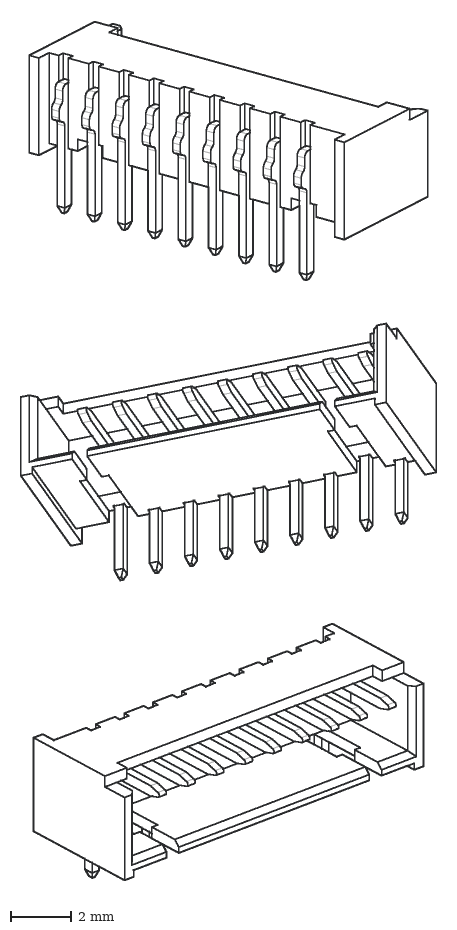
import cadquery as cq
import math


length = 13.0
depth = 4.7
height = 3.5
end_wall_thickness = 0.52
end_wall_front_height = 3.1
floor_bottom = 0.25
floor_top = 0.68
roof_bottom = end_wall_front_height
back_wall_rear = 0.57
back_wall_thickness = 1.0
back_wall_front = back_wall_rear + back_wall_thickness
ear_width = 0.4
roof_front = 3.21
shoulder_front = 3.69
shoulder_width = 0.95
mouth_chamfer = 0.21

notch_offset = 4.41
notch_wide = 1.03
notch_narrow = 0.53
notch_wide_front = 3.32

pin_count = 9
pin_pitch = 1.25
first_pin_from_end = 1.0
first_pin_x = first_pin_from_end - length / 2
pin_width = 0.31
slot_width = 0.4
pin_rear = 0.43
pin_thickness = 0.39
slot_bottom = pin_rear + pin_thickness
pin_top = 2.59
pin_taper_start_y = 3.82
pin_taper_end_y = 4.2
pin_taper_drop = 0.1
nose_radius = pin_thickness / 2 - pin_taper_drop
tail_length = 2.1
tail_tip_z = -tail_length
tail_taper_length = 0.26
tail_taper_start = tail_tip_z + tail_taper_length
tail_taper_inset = 0.1

bend_radius = 0.2
bend_rear = 0.31
bump_rear = 0.12
bump_upper_start = 2.08
bump_upper_middle_y = 0.23
bump_upper_middle_z = 1.92
bump_upper_end = 1.73
bump_lower_start = 1.48
bump_lower_end = 1.1


def block(x0, x1, y0, y1, z0, z1):
    """Box between two opposite corners."""
    return cq.Workplane("XY").box(x1 - x0, y1 - y0, z1 - z0, centered=False).translate((x0, y0, z0))


def centred_block(x, width, y0, y1, z0, z1):
    """Box of the given width centred on x."""
    return block(x - width / 2, x + width / 2, y0, y1, z0, z1)


def make_housing():
    half = length / 2
    inner_half = half - end_wall_thickness
    body = block(-half, half, 0, depth, 0, height)

    body = body.cut(block(-half, half, shoulder_front, depth, end_wall_front_height, height))
    body = body.cut(centred_block(0, length - 2 * shoulder_width, roof_front, depth, roof_bottom, height))

    body = body.cut(block(-inner_half, inner_half, back_wall_front, depth, floor_top, roof_bottom))

    ear_gap = length - 2 * ear_width
    body = body.cut(centred_block(0, ear_gap, 0, back_wall_rear, 0, height))
    body = body.cut(centred_block(0, ear_gap, 0, depth, 0, floor_bottom))
    return body


def make_mouth_chamfer():
    """Flared opening that bevels the floor and both end walls at the cavity mouth."""
    mouth_width = length - 2 * end_wall_thickness
    mouth_height = height - floor_top
    return (
        cq.Workplane("XZ", origin=(0, depth, floor_top + mouth_height / 2))
        .rect(mouth_width + 2 * mouth_chamfer, mouth_height + 2 * mouth_chamfer)
        .workplane(offset=mouth_chamfer)
        .rect(mouth_width, mouth_height)
        .loft(combine=True)
    )


def make_notch(x):
    wide = centred_block(x, notch_wide, 0, notch_wide_front, 0, floor_top)
    narrow = centred_block(x, notch_narrow, 0, depth, 0, floor_top)
    return wide.union(narrow)


def point_on_arc(end, far_end):
    """Point midway along the arc that leaves `end` parallel to Z and reaches `far_end`."""
    dy = far_end[0] - end[0]
    dz = far_end[1] - end[1]
    radius = (dy**2 + dz**2) / (2 * abs(dy))
    half_angle = math.asin(abs(dz) / radius) / 2
    side_shift = math.copysign(radius * (1 - math.cos(half_angle)), dy)
    rise = math.copysign(radius * math.sin(half_angle), dz)
    return (end[0] + side_shift, end[1] + rise)


def s_curve(outline, start, middle, end):
    """Add two arcs that are parallel to Z at `start` and `end` and meet at `middle`; points are (y, z)."""
    outline = outline.threePointArc(point_on_arc(start, middle), middle)
    return outline.threePointArc(point_on_arc(end, middle), end)


def make_pin(x):
    """Right-angle pin: a contact blade along Y and a solder tail along -Z."""
    pin_bottom = pin_top - pin_thickness
    taper_top = pin_top - pin_taper_drop
    taper_bottom = pin_bottom + pin_taper_drop
    nose_z = (taper_top + taper_bottom) / 2
    round_start = bend_rear + bend_radius
    bend_z = pin_top - bend_radius
    arc_inset = bend_radius * (1 - math.sqrt(0.5))

    outline = (
        cq.Workplane("YZ")
        .moveTo(round_start, pin_top)
        .threePointArc((bend_rear + arc_inset, pin_top - arc_inset), (bend_rear, bend_z))
        .lineTo(bend_rear, bump_upper_start)
    )
    outline = s_curve(
        outline,
        (bend_rear, bump_upper_start),
        (bump_upper_middle_y, bump_upper_middle_z),
        (bump_rear, bump_upper_end),
    )
    outline = outline.lineTo(bump_rear, bump_lower_start)
    outline = s_curve(
        outline,
        (bump_rear, bump_lower_start),
        ((bump_rear + pin_rear) / 2, (bump_lower_start + bump_lower_end) / 2),
        (pin_rear, bump_lower_end),
    )
    blade_and_bend = (
        outline.lineTo(pin_rear, tail_taper_start)
        .lineTo(slot_bottom, tail_taper_start)
        .lineTo(slot_bottom, pin_bottom)
        .lineTo(pin_taper_start_y, pin_bottom)
        .lineTo(pin_taper_end_y, taper_bottom)
        .threePointArc((pin_taper_end_y + nose_radius, nose_z), (pin_taper_end_y, taper_top))
        .lineTo(pin_taper_start_y, pin_top)
        .close()
        .extrude(pin_width / 2, both=True)
    )
    tail_tip = (
        cq.Workplane("XY", origin=(0, pin_rear + pin_thickness / 2, tail_taper_start))
        .rect(pin_width, pin_thickness)
        .workplane(offset=tail_tip_z - tail_taper_start)
        .rect(pin_width - 2 * tail_taper_inset, pin_thickness - 2 * tail_taper_inset)
        .loft(combine=True)
    )
    return blade_and_bend.union(tail_tip).translate((x, 0, 0))


result = make_housing().cut(make_mouth_chamfer())
for side in (-1, 1):
    result = result.cut(make_notch(side * notch_offset))
for index in range(pin_count):
    pin_x = first_pin_x + index * pin_pitch
    result = result.cut(centred_block(pin_x, slot_width, 0, slot_bottom, 0, height))
    result = result.union(make_pin(pin_x))